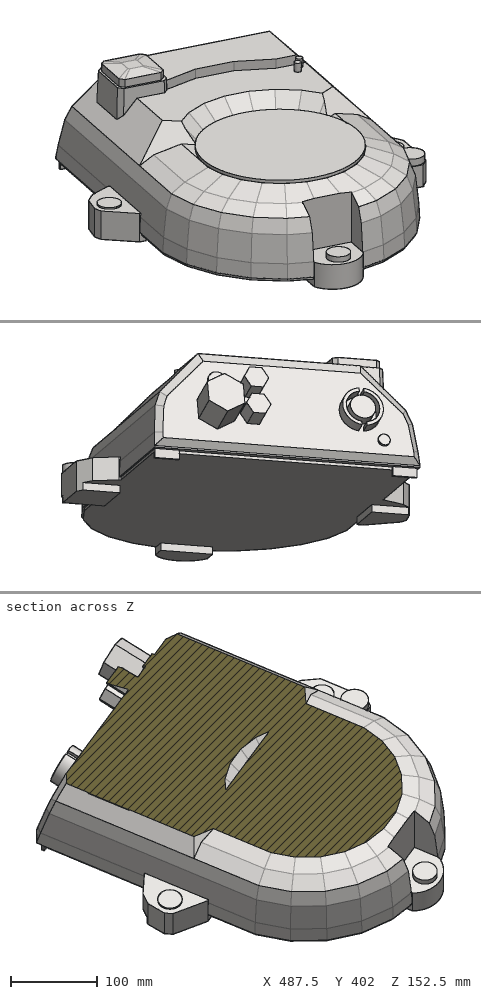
import cadquery as cq
import math

OVERALL_LENGTH = 487.5


FOOT_LEVEL = 0
FLANGE_BOTTOM = 9.0
SHELL_BOTTOM = 12.0
SHOULDER = (84.0, 148.0)
LOWER_SECTIONS = [(SHELL_BOTTOM, 159.5), (31.0, 158.5), (66.5, 154.5), SHOULDER]
DOME_TOP = (105.0, 98.0)
DOME_SECTIONS = [SHOULDER, (94.0, 129.5), DOME_TOP]
DOME_START_X = -78
SHELL_FRONT_X = -317
FLANGE_HALF_WIDTH = 157.5
FLANGE_FRONT_X = -258.5
FACET_COUNT = 24
DISC_HEIGHT = 4.0

BLOCK_TOP = 136.5
BLOCK_TOP_HALF_WIDTH = 97.5
STEP_LEVEL = 125.0
STEP_SIDE = (-161, 71.0)
STEP_MIDDLE = (-175.5, 24.5)
SEAT_RADIUS = 117
SHOULDER_CUT_POINT = (-75.0, 89.0)
SHOULDER_CUT_AZIMUTH = 32
SHOULDER_CUT_RUN = 39

FRONT_TILT = 15
FRONT_X = -270.0
NOSE_DEPTH = 7.5
NOSE_BOTTOM = 14.0
NOSE_SECTIONS = [(23.0, 150.5), (30.0, 150.5), (63.5, 147.0), (76.5, 142.0), (125.0, 94.5)]

END_LUG_HALF_WIDTH = 31.0
END_LUG_TOP = 31.0
END_LUG_SHOULDER_X = 157.0
END_LUG_BACK_X = 135.5
END_POCKET_X = 125.0
END_PAD_X = 156
SIDE_LUG_TOP = 36.0
SIDE_LUG_ROOT_Y = 151
SIDE_FOOT_START_X = -101.0
SIDE_FOOT_END_X = -38.5
LEFT_LUG = [(-125.0, 159.5), (-112, 188.0), (-93.0, 201.5), (-32.5, 201.5), (-22.5, 192.5), (-22.5, 159.5)]
RIGHT_LUG = [(-125.0, -159.5), (-111.5, -186.5), (-99.0, -197.0), (-75.5, -200.5), (-66.5, -196.5), (-41.0, -159.5)]
PAD_RADIUS = 14.0
PAD_TOP = 38.0
SIDE_PAD = (-79.5, 180.0)
TALL_PAD = (-39.5, 185.5)
TALL_PAD_RADIUS = 16.0
TALL_PAD_TOP = 45.0
TAB_X = -261.0
TAB_THICKNESS = 3.5
TAB_INNER_Y = 128.5
TAB_OUTER_Y = 157.5
TAB_BOTTOM = 1.5

BUTTON = (-187.0, -99.5)
BUTTON_BASE_LEVEL = 85.5
BUTTON_BASE_HALF = 33.0
BUTTON_SHELF = (140.0, 31.0)
BUTTON_CAP = (149.5, 28.5)
BUTTON_PEAK = (152.5, 9.8)
BUTTON_CORNER = 0.18
PINS = [(-154.0, 97.5), (-144.0, 90.5)]
PIN_RADIUS = 4.15
PIN_TOP = 136.0

BIG_NUT = (85.5, 61.5)
BIG_NUT_RADIUS = 25.0
BIG_NUT_LENGTH = 43.0
BIG_NUT_GAP = 3.0
SHANK_RADIUS = 14.5
SMALL_NUTS = [(40.5, 95.0), (40.5, 61.5)]
SMALL_NUT_RADIUS = 14.5
SMALL_NUT_LENGTH = 26.5
SOCKET = (-89.2, 74.0)
SOCKET_RADIUS = 24.5
SOCKET_BORE_RADIUS = 20.0
SOCKET_CORE_RADIUS = 15.0
SOCKET_SLOT_WIDTH = 6.0
SOCKET_LENGTH = 14.5
PLUGS = [(80.5, 100.5, 10.5), (-115.5, 40.5, 7.05)]
PLUG_HEIGHT = 3.0
EMBED = 2.5

HALF_FACET = 180 / FACET_COUNT
tilt = math.radians(FRONT_TILT)

big_nut_root_x = FRONT_X - NOSE_DEPTH / math.cos(tilt) + BIG_NUT[1] * math.tan(tilt)
big_nut_reach = (BIG_NUT_GAP + BIG_NUT_LENGTH) * math.cos(tilt) + BIG_NUT_RADIUS * math.sin(tilt)
end_lug_tip_x = OVERALL_LENGTH + big_nut_root_x - big_nut_reach


def facet_points(radius, first_angle, last_angle):
    """Corners of the facet polygon whose sides lie at the given radius."""
    corner_radius = radius / math.cos(math.radians(HALF_FACET))
    count = round((last_angle - first_angle) / (2 * HALF_FACET))
    angles = [math.radians(first_angle + 2 * HALF_FACET * i) for i in range(count + 1)]
    return [(corner_radius * math.cos(a), corner_radius * math.sin(a)) for a in angles]


def loft_levels(outlines):
    """Flat-sided solid through (level, points) outlines."""
    wires = []
    for level, points in outlines:
        corners = [cq.Vector(x, y, level) for x, y in points]
        wires.append(cq.Wire.makePolygon(corners, close=True))
    return cq.Workplane(cq.Solid.makeLoft(wires, True))


def half_round_outline(start_x, half_width):
    """Straight sides from start_x that run into a faceted half-round end."""
    end = facet_points(half_width, HALF_FACET - 90, 90 - HALF_FACET)
    return [(start_x, -half_width)] + end + [(start_x, half_width)]


def shell_layers(sections, start_x):
    return loft_levels([(z, half_round_outline(start_x, half)) for z, half in sections])


def mirrored(points):
    """Close a half outline of (z, half width) pairs into (y, z) points."""
    return [(half, z) for z, half in points] + [(-half, z) for z, half in reversed(points)]


def prism(points, bottom, top):
    return cq.Workplane("XY", origin=(0, 0, bottom)).polyline(points).close().extrude(top - bottom)


def pad(center, radius, bottom, top):
    return cq.Workplane("XY", origin=(*center, bottom)).circle(radius).extrude(top - bottom)


def raised_block():
    """Roof with sloping sides, a step across it and a faceted seat round the dome."""
    roof = mirrored([SHOULDER, (BLOCK_TOP, BLOCK_TOP_HALF_WIDTH)])
    block = cq.Workplane("YZ", origin=(SHELL_FRONT_X, 0, 0)).polyline(roof).close()
    block = block.extrude(-SHELL_FRONT_X)

    reach = 2 * SHOULDER[1]
    step = [(0, -reach), (STEP_SIDE[0], -reach), (STEP_SIDE[0], -STEP_SIDE[1]),
            (STEP_MIDDLE[0], -STEP_MIDDLE[1])]
    step += [(x, -y) for x, y in reversed(step)]
    block = block.cut(prism(step, STEP_LEVEL, BLOCK_TOP + EMBED))

    depth = STEP_LEVEL - SHOULDER[0]
    rise = BLOCK_TOP - STEP_LEVEL
    last_angle = 360 - HALF_FACET
    seat = loft_levels([
        (SHOULDER[0], facet_points(SEAT_RADIUS - depth, HALF_FACET, last_angle)),
        (BLOCK_TOP, facet_points(SEAT_RADIUS + rise, HALF_FACET, last_angle)),
    ])
    block = block.cut(seat)

    azimuth = math.radians(SHOULDER_CUT_AZIMUTH)
    outward = cq.Vector(math.cos(azimuth), math.sin(azimuth), 0)
    along = cq.Vector(-math.sin(azimuth), math.cos(azimuth), 0)
    corner = cq.Vector(*SHOULDER_CUT_POINT, STEP_LEVEL)
    run_in = SHOULDER_CUT_POINT[1] / math.cos(azimuth)
    slope_plane = cq.Plane(origin=corner - along * run_in, xDir=outward, normal=along * -1)
    overrun = rise * SHOULDER_CUT_RUN / depth
    slope = [(-overrun, rise), (SHOULDER_CUT_RUN, -depth), (reach, -depth), (reach, rise)]
    wedge = cq.Workplane(slope_plane).polyline(slope).close().extrude(-reach)
    return block.cut(wedge).cut(wedge.mirror("XZ"))


def front_plane(offset):
    """Plane of the inclined front, moved outward; local x is Y, local y runs up the slope."""
    normal = cq.Vector(-math.cos(tilt), 0, math.sin(tilt))
    origin = cq.Vector(FRONT_X, 0, 0) + normal * offset
    return cq.Plane(origin=origin, xDir=(0, -1, 0), normal=normal)


def on_front(y, z, offset):
    """Local coordinates of the point with the given Y and Z on an offset front plane."""
    return (-y, (z - offset * math.sin(tilt)) / math.cos(tilt))


def nose():
    """Bevelled front panel standing on the inclined cut."""
    wires = []
    base = [(NOSE_BOTTOM, LOWER_SECTIONS[0][1])] + LOWER_SECTIONS[1:] + [(BLOCK_TOP, BLOCK_TOP_HALF_WIDTH)]
    for offset, sections in [(0, base), (NOSE_DEPTH, NOSE_SECTIONS)]:
        plane = front_plane(offset)
        corners = [plane.toWorldCoords(on_front(y, z, offset)) for y, z in mirrored(sections)]
        wires.append(cq.Wire.makePolygon(corners, close=True))
    return cq.Workplane(cq.Solid.makeLoft(wires, True))


def front_trim():
    """Everything in front of the inclined plane."""
    top_z = BLOCK_TOP + EMBED
    top_x = FRONT_X + top_z * math.tan(tilt)
    outline = [(FRONT_X, 0), (top_x, top_z), (SHELL_FRONT_X - EMBED, top_z), (SHELL_FRONT_X - EMBED, 0)]
    return cq.Workplane("XZ").polyline(outline).close().extrude(2 * SHOULDER[1], both=True)


def end_lug():
    lug = (
        cq.Workplane("XY")
        .moveTo(END_LUG_BACK_X, -END_LUG_HALF_WIDTH)
        .lineTo(END_LUG_SHOULDER_X, -END_LUG_HALF_WIDTH)
        .threePointArc((end_lug_tip_x, 0), (END_LUG_SHOULDER_X, END_LUG_HALF_WIDTH))
        .lineTo(END_LUG_BACK_X, END_LUG_HALF_WIDTH)
        .close()
        .extrude(END_LUG_TOP)
    )
    return lug.union(pad((END_PAD_X, 0), PAD_RADIUS, END_LUG_TOP - EMBED, PAD_TOP))


def end_pocket():
    """Clearance in the dome above the end lug."""
    size = (end_lug_tip_x - END_POCKET_X, 2 * END_LUG_HALF_WIDTH, BLOCK_TOP)
    corner = (END_POCKET_X, 0, END_LUG_TOP)
    return cq.Workplane("XY", origin=corner).box(*size, centered=(False, True, False))


def side_lug(outline, side):
    """Lug level with the flange underside, with a narrower foot below it."""
    root_y = side * SIDE_LUG_ROOT_Y
    points = [(outline[0][0], root_y)] + outline + [(outline[-1][0], root_y)]
    foot_length = SIDE_FOOT_END_X - SIDE_FOOT_START_X
    foot_start = cq.Workplane("XY", origin=(SIDE_FOOT_START_X, 0, FOOT_LEVEL))
    foot = foot_start.box(foot_length, 4 * SIDE_LUG_ROOT_Y, FLANGE_BOTTOM, centered=(False, True, False))
    foot = foot.intersect(prism(points, FOOT_LEVEL, FLANGE_BOTTOM))
    lug = prism(points, FLANGE_BOTTOM, SIDE_LUG_TOP).union(foot)
    pad_center = (SIDE_PAD[0], side * SIDE_PAD[1])
    return lug.union(pad(pad_center, PAD_RADIUS, SIDE_LUG_TOP - EMBED, PAD_TOP))


def corner_tabs():
    """Thin tabs hanging below the front corners."""
    size = (TAB_THICKNESS, TAB_OUTER_Y - TAB_INNER_Y, SHELL_BOTTOM + EMBED - TAB_BOTTOM)
    tab = cq.Workplane("XY", origin=(TAB_X, TAB_INNER_Y, TAB_BOTTOM)).box(*size, centered=False)
    return tab.union(tab.mirror("XZ"))


def bevelled_square(half):
    near = half * (1 - BUTTON_CORNER)
    corners = [(half, near), (near, half), (-near, half), (-half, near)]
    corners += [(-x, -y) for x, y in corners]
    return [(BUTTON[0] + x, BUTTON[1] + y) for x, y in corners]


def button():
    """Tapered square box with a smaller cap and a shallow pyramid top."""
    cap_half = BUTTON_CAP[1]
    stages = [
        [(BUTTON_BASE_LEVEL, BUTTON_BASE_HALF), BUTTON_SHELF],
        [(BUTTON_SHELF[0] - EMBED, cap_half), BUTTON_CAP],
        [BUTTON_CAP, BUTTON_PEAK],
    ]
    solid = cq.Workplane("XY")
    for stage in stages:
        solid = solid.union(loft_levels([(z, bevelled_square(half)) for z, half in stage]))
    return solid


def face_sketch(y, z, offset=0.0):
    """Workplane centred on a front-face point, moved out along the face normal."""
    plane = front_plane(NOSE_DEPTH)
    plane.origin = plane.toWorldCoords(on_front(y, z, NOSE_DEPTH)) + plane.zDir * offset
    return cq.Workplane(plane)


def fittings():
    shank = face_sketch(*BIG_NUT, -EMBED).circle(SHANK_RADIUS).extrude(BIG_NUT_GAP + 2 * EMBED)
    big_nut = face_sketch(*BIG_NUT, BIG_NUT_GAP).transformed(rotate=(0, 0, 90))
    solid = shank.union(big_nut.polygon(6, 2 * BIG_NUT_RADIUS).extrude(BIG_NUT_LENGTH))

    for y, z in SMALL_NUTS:
        nut = face_sketch(y, z, -EMBED).polygon(6, 2 * SMALL_NUT_RADIUS)
        solid = solid.union(nut.extrude(SMALL_NUT_LENGTH + EMBED))

    socket_height = SOCKET_LENGTH + EMBED
    ring = face_sketch(*SOCKET, -EMBED).circle(SOCKET_RADIUS).circle(SOCKET_BORE_RADIUS)
    ring = ring.extrude(socket_height)
    slot = face_sketch(*SOCKET).rect(SOCKET_SLOT_WIDTH, 3 * SOCKET_RADIUS).extrude(socket_height)
    core = face_sketch(*SOCKET, -EMBED).circle(SOCKET_CORE_RADIUS).extrude(socket_height)
    solid = solid.union(ring.cut(slot)).union(core)

    for y, z, radius in PLUGS:
        solid = solid.union(face_sketch(y, z, -EMBED).circle(radius).extrude(PLUG_HEIGHT + EMBED))
    return solid


body = shell_layers(LOWER_SECTIONS, SHELL_FRONT_X).union(raised_block()).cut(front_trim()).union(nose())
body = body.union(shell_layers(DOME_SECTIONS, DOME_START_X))
body = body.union(pad((0, 0), DOME_TOP[1], DOME_TOP[0] - EMBED, DOME_TOP[0] + DISC_HEIGHT))
flange_outline = half_round_outline(FLANGE_FRONT_X, FLANGE_HALF_WIDTH)
body = body.union(prism(flange_outline, FLANGE_BOTTOM, SHELL_BOTTOM + EMBED))
body = body.cut(end_pocket()).union(end_lug())
body = body.union(side_lug(LEFT_LUG, 1)).union(side_lug(RIGHT_LUG, -1))
body = body.union(pad(TALL_PAD, TALL_PAD_RADIUS, SIDE_LUG_TOP - EMBED, TALL_PAD_TOP))
body = body.union(corner_tabs()).union(button())
for pin in PINS:
    body = body.union(pad(pin, PIN_RADIUS, STEP_LEVEL - EMBED, PIN_TOP))
result = body.union(fittings())